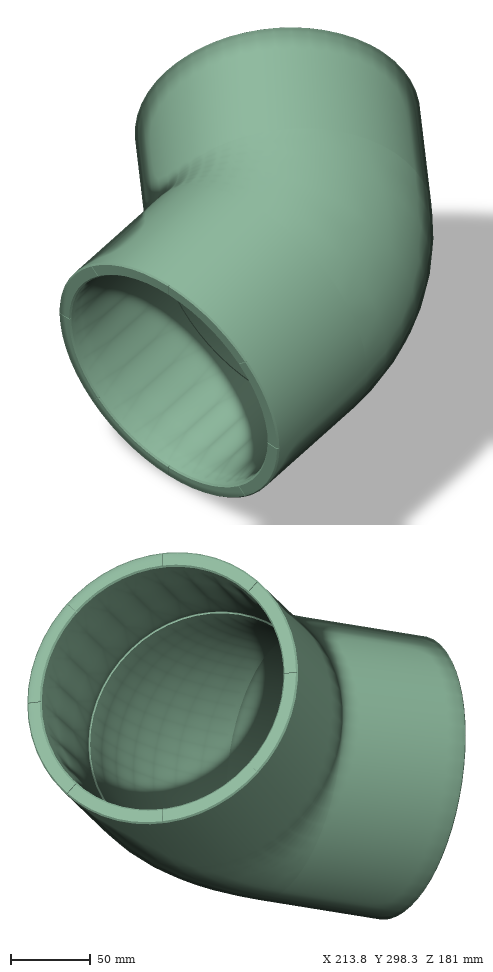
import cadquery as cq
import math

outer_diameter = 181.0
rim_bore_diameter = 161.7
bend_bore_diameter = 156.5
bore_step = 1.2
bend_angle = 45.0
inside_gap = 0.3
overall_length = 298.3
edge_chamfer = 1.05
mark_count = 8
mark_width = 0.45
mark_depth = 1.0

half_angle = bend_angle / 2
half_sine = math.sin(math.radians(half_angle))
half_cosine = math.cos(math.radians(half_angle))
outer_radius = outer_diameter / 2
rim_bore_radius = rim_bore_diameter / 2
bend_bore_radius = bend_bore_diameter / 2
bend_radius = outer_radius + inside_gap
corner_reach = (bend_radius + outer_radius - edge_chamfer) * half_sine
leg_length = (overall_length / 2 - corner_reach) / half_cosine


def bend_sector(radius):
    """Solid torus sector about Z, centred on the XZ plane."""
    return (
        cq.Workplane("XZ")
        .center(bend_radius, 0)
        .circle(radius)
        .revolve(bend_angle, (-bend_radius, 0), (-bend_radius, 1))
        .rotate((0, 0, 0), (0, 0, 1), -half_angle)
    )


def place_leg(leg, side):
    """Move a leg built from the XZ plane along +Y to one end of the bend; side is +1 or -1."""
    if side < 0:
        leg = leg.mirror("XZ")
    return leg.translate((bend_radius, 0, 0)).rotate((0, 0, 0), (0, 0, 1), side * half_angle)


def revolve_about_leg(profile_points):
    """Revolve (radius, distance along leg) points about the leg axis, which is +Y."""
    return cq.Workplane("XY").polyline(profile_points).close().revolve(360, (0, 0), (0, 1))


def outer_leg():
    return revolve_about_leg([
        (0, 0),
        (outer_radius, 0),
        (outer_radius, leg_length - edge_chamfer),
        (outer_radius - edge_chamfer, leg_length),
        (0, leg_length),
    ])


def leg_bore():
    """Tapered bore that opens towards the end and finishes in a chamfer."""
    return revolve_about_leg([
        (0, 0),
        (bend_bore_radius + bore_step, 0),
        (rim_bore_radius, leg_length - edge_chamfer),
        (rim_bore_radius + edge_chamfer, leg_length),
        (0, leg_length),
    ])


def end_marks():
    """Shallow radial grooves across the end face, each spanning the full diameter."""
    marks = cq.Workplane("XY")
    for index in range(mark_count // 2):
        groove = (
            cq.Workplane("XY")
            .box(outer_diameter, mark_depth, mark_width)
            .translate((0, leg_length - mark_depth / 2, 0))
            .rotate((0, 0, 0), (0, 1, 0), index * 360 / mark_count)
        )
        marks = marks.union(groove)
    return marks


body = bend_sector(outer_radius)
bore = bend_sector(bend_bore_radius)
for side in (1, -1):
    body = body.union(place_leg(outer_leg(), side))
    bore = bore.union(place_leg(leg_bore(), side))

result = body.cut(bore)
for side in (1, -1):
    result = result.cut(place_leg(end_marks(), side))